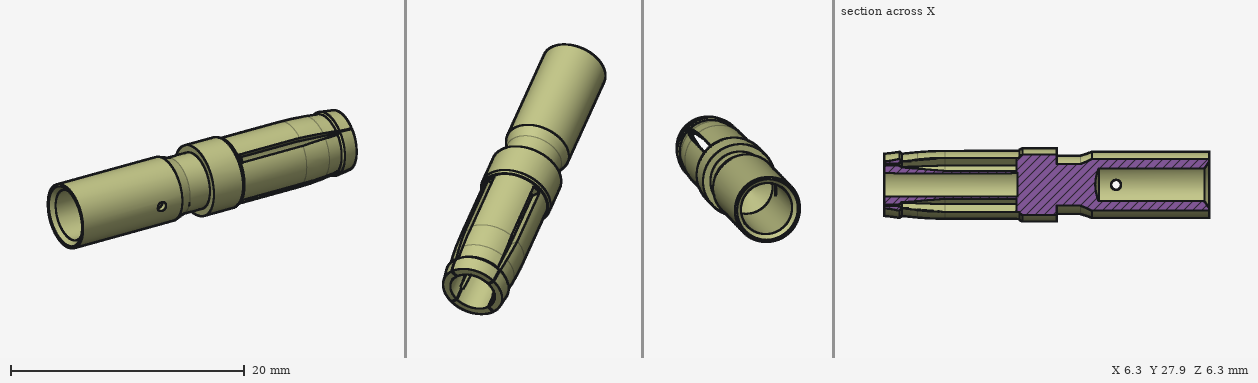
import cadquery as cq
import math

length = 27.85

barrel_radius = 2.85
barrel_end = 10.05
neck_radius = 2.5
neck_start = 11.05

collar_radius = 3.15
collar_start = 13.05
collar_end = 16.25
collar_chamfer_length = 0.25
collar_chamfer_height = 0.15

socket_radius = 2.92
straight_end = 22.6
cone_start = 24.97
cone_start_radius = 2.8
groove_y = 26.3
groove_radius = 2.67
lip_y = 26.53
lip_radius = 2.85
tip_radius = 2.67

wire_bore_radius = 2.23
wire_bore_depth = 9.47
mouth_radius = 2.65
mouth_depth = 0.42
drill_point_angle = 118.0

inspection_hole_diameter = 0.84
inspection_hole_y = 8.0

socket_bore_radius = 2.0
socket_bore_depth = 11.41
slot_count = 4
first_slot_angle = 45.0
slot_floor = 16.5
slot_width = 0.75
slot_groove_width = 0.33
slot_tip_width = 0.08


def make_body():
    """Revolve the outer profile; the rounded shoulder is tangent to the straight socket."""
    drop = socket_radius - cone_start_radius
    run = cone_start - straight_end
    shoulder_radius = (run**2 + drop**2) / (2 * drop)
    half_angle = math.asin(run / shoulder_radius) / 2
    shoulder_mid = (
        socket_radius - shoulder_radius * (1 - math.cos(half_angle)),
        straight_end + shoulder_radius * math.sin(half_angle),
    )
    return (
        cq.Workplane("XY")
        .lineTo(barrel_radius, 0)
        .lineTo(barrel_radius, barrel_end)
        .lineTo(neck_radius, neck_start)
        .lineTo(neck_radius, collar_start)
        .lineTo(collar_radius, collar_start)
        .lineTo(collar_radius, collar_end - collar_chamfer_length)
        .lineTo(collar_radius - collar_chamfer_height, collar_end)
        .lineTo(socket_radius, collar_end)
        .lineTo(socket_radius, straight_end)
        .threePointArc(shoulder_mid, (cone_start_radius, cone_start))
        .lineTo(groove_radius, groove_y)
        .lineTo(lip_radius, lip_y)
        .lineTo(tip_radius, length)
        .lineTo(0, length)
        .close()
        .revolve(360, (0, 0, 0), (0, 1, 0))
    )


def make_wire_bore():
    """Countersunk blind hole ending in a drill point."""
    point_depth = wire_bore_radius / math.tan(math.radians(drill_point_angle / 2))
    return (
        cq.Workplane("XY")
        .lineTo(mouth_radius, 0)
        .lineTo(wire_bore_radius, mouth_depth)
        .lineTo(wire_bore_radius, wire_bore_depth)
        .lineTo(0, wire_bore_depth + point_depth)
        .close()
        .revolve(360, (0, 0, 0), (0, 1, 0))
    )


def make_inspection_hole():
    """Small cross hole from the bore axis out through one side of the barrel."""
    return (
        cq.Workplane("YZ")
        .center(inspection_hole_y, 0)
        .circle(inspection_hole_diameter / 2)
        .extrude(collar_radius)
    )


def make_socket_bore():
    """Flat-bottomed round hole from the socket tip."""
    return (
        cq.Workplane("XZ", origin=(0, length, 0))
        .circle(socket_bore_radius)
        .extrude(socket_bore_depth)
    )


def make_slot(angle):
    """Radial slot, narrowing towards the tip where the fingers are bent inwards."""
    return (
        cq.Workplane("XY")
        .moveTo(-slot_width / 2, slot_floor)
        .lineTo(slot_width / 2, slot_floor)
        .lineTo(slot_width / 2, straight_end)
        .lineTo(slot_groove_width / 2, groove_y)
        .lineTo(slot_tip_width / 2, lip_y)
        .lineTo(slot_tip_width / 2, length)
        .lineTo(-slot_tip_width / 2, length)
        .lineTo(-slot_tip_width / 2, lip_y)
        .lineTo(-slot_groove_width / 2, groove_y)
        .lineTo(-slot_width / 2, straight_end)
        .close()
        .extrude(collar_radius)
        .rotate((0, 0, 0), (0, 1, 0), angle)
    )


result = make_body().cut(make_wire_bore())
result = result.cut(make_inspection_hole())
result = result.cut(make_socket_bore())
for index in range(slot_count):
    result = result.cut(make_slot(first_slot_angle + index * 360 / slot_count))